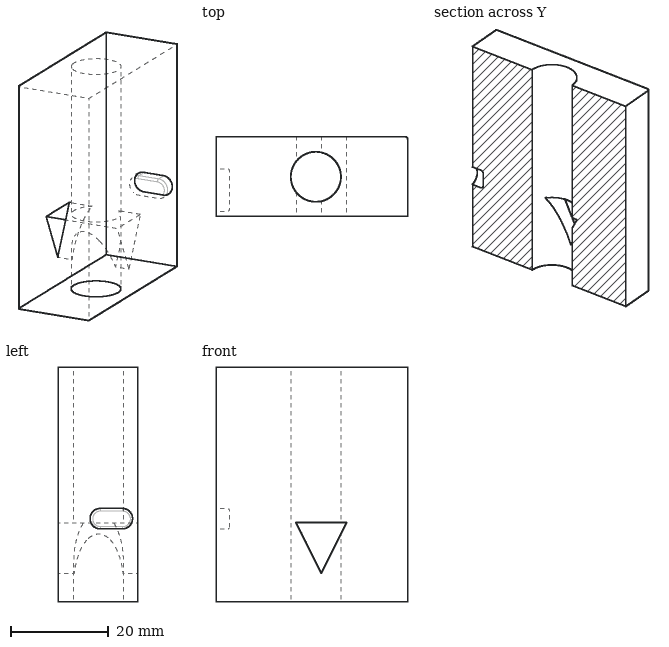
import cadquery as cq

LENGTH = 39.21
DEPTH = 16.35
HEIGHT = 48.04
CORNER_RADIUS = 0.6

BORE_DIAMETER = 10.22
BORE_X = 20.4
BORE_Y = 8.1

WINDOW_WIDTH = 10.3
WINDOW_HEIGHT = 10.3
WINDOW_X = 21.5
WINDOW_TIP_Z = 5.9

SLOT_LENGTH = 8.7
SLOT_WIDTH = 4.2
SLOT_Y = 5.45
SLOT_Z = 17.03
SLOT_DEPTH = 2.7
SLOT_FLOOR_RADIUS = 0.5


def make_block():
    block = cq.Workplane("XY").box(LENGTH, DEPTH, HEIGHT, centered=False)
    return block.edges("|Z and >X and >Y").fillet(CORNER_RADIUS)


def make_bore():
    return cq.Workplane("XY").center(BORE_X, BORE_Y).circle(BORE_DIAMETER / 2).extrude(HEIGHT)


def make_window():
    top_z = WINDOW_TIP_Z + WINDOW_HEIGHT
    corners = [
        (WINDOW_X, WINDOW_TIP_Z),
        (WINDOW_X + WINDOW_WIDTH / 2, top_z),
        (WINDOW_X - WINDOW_WIDTH / 2, top_z),
    ]
    return cq.Workplane("XZ").polyline(corners).close().extrude(-DEPTH)


def make_slot():
    slot = cq.Workplane("YZ").center(SLOT_Y, SLOT_Z).slot2D(SLOT_LENGTH, SLOT_WIDTH).extrude(SLOT_DEPTH)
    return slot.faces(">X").edges().fillet(SLOT_FLOOR_RADIUS)


result = make_block().cut(make_bore()).cut(make_window()).cut(make_slot())